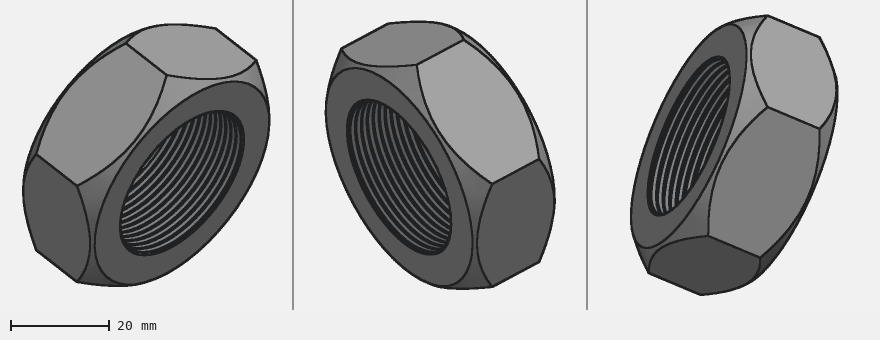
import cadquery as cq
import math

across_corners = 57.75
thickness = 21.0

face_radius = 24.35
corner_setback = across_corners / 2 - face_radius

lip_radius = 13.75
lip_length = 2.0
thread_minor_radius = 16.9
thread_pitch = 1.5
crest_width = thread_pitch / 4
thread_runout = thread_pitch / 2
groove_half_width = (thread_pitch - crest_width) / 2
thread_depth = groove_half_width / math.tan(math.radians(30))


def chamfered_hexagon():
    """Hexagonal prism trimmed by a bevelled disc that touches its corners."""
    hexagon = cq.Workplane("YZ").polygon(6, across_corners).extrude(thickness / 2, both=True)
    disc = (
        cq.Workplane("YZ")
        .circle(across_corners / 2)
        .extrude(thickness / 2, both=True)
        .edges()
        .chamfer(corner_setback)
    )
    return hexagon.intersect(disc).rotate((0, 0, 0), (1, 0, 0), 90)


def threaded_bore():
    """Stepped bore with a row of V grooves; the +X face cuts through the last pitch."""
    end = thickness / 2
    lip_end = -end + lip_length
    profile = (
        cq.Workplane("XY")
        .moveTo(-end, 0)
        .lineTo(-end, lip_radius)
        .lineTo(lip_end, lip_radius)
        .lineTo(lip_end, thread_minor_radius)
    )
    groove_start = lip_end + thread_runout
    while groove_start < end:
        groove_middle = groove_start + groove_half_width
        groove_end = groove_middle + groove_half_width
        profile = (
            profile
            .lineTo(groove_start, thread_minor_radius)
            .lineTo(groove_middle, thread_minor_radius + thread_depth)
            .lineTo(groove_end, thread_minor_radius)
        )
        groove_start += thread_pitch
    profile = profile.lineTo(groove_end, 0).close()
    return profile.revolve(360, (0, 0, 0), (1, 0, 0))


result = chamfered_hexagon().cut(threaded_bore())